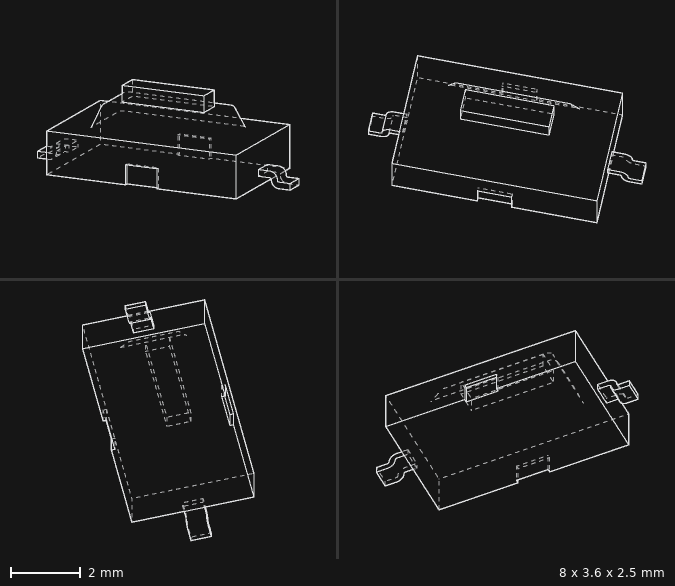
import cadquery as cq
import math

body_length = 6.0
body_width = 3.6
body_height = 1.3

notch_length = 1.0
notch_height = 0.6
notch_depth = 0.1

dome_length = 4.0
dome_width = 2.1
dome_top = 2.0
dome_height = dome_top - body_height
dome_taper = 20.0
dome_edge_radius = 0.15
dome_root_radius = 0.05

bar_length = 2.59
bar_width = 0.7
bar_top = 2.5

overall_length = 8.0
lead_width = 0.6
lead_thickness = 0.2
bend_inner_radius = 0.05
bend_outer_radius = bend_inner_radius + lead_thickness
bend_center_height = bend_outer_radius
lead_top = 2 * bend_outer_radius
foot_length = 0.4


def make_housing():
    housing = cq.Workplane("XY").box(body_length, body_width, body_height, centered=(True, True, False))
    for side in (-1, 1):
        notch = (
            cq.Workplane("XY")
            .box(notch_length, 2 * notch_depth, notch_height, centered=(True, True, False))
            .translate((0, side * body_width / 2, 0))
        )
        housing = housing.cut(notch)
    return housing


def make_dome():
    dome = (
        cq.Workplane("XY", origin=(0, 0, body_height))
        .rect(dome_length, dome_width)
        .extrude(dome_height, taper=dome_taper)
    )
    return dome.edges("not <Z").fillet(dome_edge_radius)


def make_bar():
    return (
        cq.Workplane("XY", origin=(0, 0, body_height))
        .rect(bar_length, bar_width)
        .extrude(bar_top - body_height)
    )


def make_left_lead():
    """S-shaped strip with its foot level with the underside of the housing."""
    tip_x = -overall_length / 2
    root_x = -body_length / 2
    riser_left = tip_x + foot_length
    riser_right = riser_left + lead_thickness
    lower_center_x = riser_left - bend_inner_radius
    upper_center_x = riser_right + bend_inner_radius
    outer_mid = bend_outer_radius * math.sqrt(0.5)
    inner_mid = bend_inner_radius * math.sqrt(0.5)
    center_z = bend_center_height
    return (
        cq.Workplane("XZ")
        .moveTo(tip_x, 0)
        .lineTo(lower_center_x, 0)
        .threePointArc((lower_center_x + outer_mid, center_z - outer_mid), (riser_right, center_z))
        .threePointArc(
            (upper_center_x - inner_mid, center_z + inner_mid),
            (upper_center_x, lead_top - lead_thickness),
        )
        .lineTo(root_x, lead_top - lead_thickness)
        .lineTo(root_x, lead_top)
        .lineTo(upper_center_x, lead_top)
        .threePointArc((upper_center_x - outer_mid, center_z + outer_mid), (riser_left, center_z))
        .threePointArc(
            (lower_center_x + inner_mid, center_z - inner_mid),
            (lower_center_x, lead_thickness),
        )
        .lineTo(tip_x, lead_thickness)
        .close()
        .extrude(lead_width / 2, both=True)
    )


housing_with_dome = make_housing().union(make_dome())

root_half_size = (dome_length / 2 + dome_root_radius, dome_width / 2 + dome_root_radius)
root_edges = cq.selectors.BoxSelector(
    (-root_half_size[0], -root_half_size[1], body_height - dome_root_radius / 2),
    (root_half_size[0], root_half_size[1], body_height + dome_root_radius / 2),
)
housing_with_dome = housing_with_dome.edges(root_edges).fillet(dome_root_radius)

left_lead = make_left_lead()
right_lead = left_lead.mirror("YZ")

result = housing_with_dome.union(make_bar()).union(left_lead).union(right_lead)